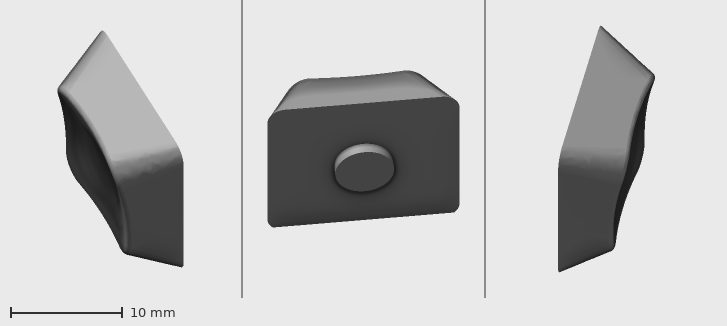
import cadquery as cq
import math

base_width = 17.3
base_height = 16.3
base_corner_radius = 1.6

top_width = 12.4
top_height = 12.6
top_corner_radius = 2.5
top_depth = 5.44
top_center_z = -0.57
tilt_deg = 6.0

dish_radius = 29.5
dish_depth = 1.44
rim_fillet = 0.5

overall_height = 15.83
trim_z = base_height / 2 - overall_height

stem_diameter = 5.3
stem_length = 1.0


def rounded_outline(width, height, radius):
    """Rectangle with rounded corners, centred on its plane."""
    return cq.Sketch().rect(width, height).vertices().fillet(radius)


def tapered_body():
    """Walls running straight from the base outline to the tilted upper outline."""
    base = rounded_outline(base_width, base_height, base_corner_radius)
    top = rounded_outline(top_width, top_height, top_corner_radius)
    placement = cq.Location(cq.Vector(0, top_center_z, top_depth), cq.Vector(1, 0, 0), tilt_deg)
    return cq.Workplane("XZ").placeSketch(base, top.moved(placement)).loft(ruled=True)


def cut_dish(body):
    """Scoop out the touch surface and round its rim."""
    tilt = math.radians(tilt_deg)
    outline_plane = cq.Plane(
        origin=(0, -top_depth, top_center_z),
        xDir=(-1, 0, 0),
        normal=(0, -math.cos(tilt), -math.sin(tilt)),
    )
    ball = cq.Workplane(outline_plane).workplane(offset=dish_radius - dish_depth).sphere(dish_radius)
    return body.cut(ball).faces("%SPHERE").edges().fillet(rim_fillet)


def trim_lower_edge(body):
    """Remove everything below the flat lower edge."""
    lower_plane = cq.Workplane("XY", origin=(0, 0, trim_z))
    cutter = lower_plane.rect(2 * base_width, 2 * base_width).extrude(-base_height)
    return body.cut(cutter)


def stem():
    """Round stem on the base plane, pointing along +Y."""
    return cq.Workplane("XZ").circle(stem_diameter / 2).extrude(-stem_length)


result = trim_lower_edge(cut_dish(tapered_body())).union(stem())